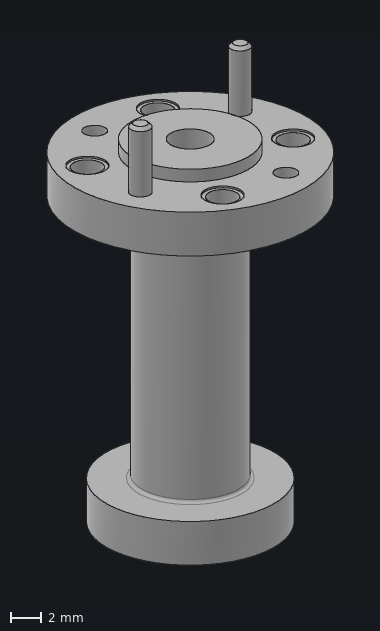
import cadquery as cq

total_height = 32.08
flange_thickness = 3.2
upper_flange_top = 27.05
boss_height = 0.93

upper_flange_diameter = 19.05
lower_flange_diameter = 13.8
tube_diameter = 7.95
boss_diameter = 9.53
bore_diameter = 3.18
tube_fillet = 0.25

hole_circle_radius = 7.15
screw_hole_diameter = 2.28
counterbore_diameter = 2.85
counterbore_depth = 0.13
pin_hole_diameter = 1.7
pin_diameter = 1.57
pin_chamfer_width = 0.25
pin_chamfer_height = 0.25

screw_angles = (0, 90, 180, 270)
pin_hole_angles = (45, 225)
pin_angles = (135, 315)

upper_flange_bottom = upper_flange_top - flange_thickness
boss_top = upper_flange_top + boss_height
pin_length = total_height - upper_flange_bottom


def cylinder(diameter, bottom, top):
    """Solid cylinder on the main axis between two heights."""
    return cq.Workplane("XY").workplane(offset=bottom).circle(diameter / 2).extrude(top - bottom)


def place_around(shape, angle):
    """Move a shape from the main axis onto the hole circle at an angle."""
    return shape.translate((hole_circle_radius, 0, 0)).rotate((0, 0, 0), (0, 0, 1), angle)


def turned_body():
    """Two flanges joined by a tube, with the raised boss on top."""
    lower_flange = cylinder(lower_flange_diameter, 0, flange_thickness)
    tube = cylinder(tube_diameter, flange_thickness, upper_flange_bottom)
    upper_flange = cylinder(upper_flange_diameter, upper_flange_bottom, upper_flange_top)
    boss = cylinder(boss_diameter, upper_flange_top, boss_top)

    spool = lower_flange.union(tube).union(upper_flange)
    tube_ends = cq.selectors.RadiusNthSelector(0)
    spool = spool.edges("%CIRCLE").edges(tube_ends).fillet(tube_fillet)
    return spool.union(boss).cut(cylinder(bore_diameter, 0, boss_top))


def screw_hole_cutter():
    """Through hole with a shallow counterbore in the flange top."""
    through_hole = cylinder(screw_hole_diameter, upper_flange_bottom, upper_flange_top)
    counterbore_floor = upper_flange_top - counterbore_depth
    return through_hole.union(cylinder(counterbore_diameter, counterbore_floor, upper_flange_top))


def locating_pin():
    """Pin filling the flange thickness, with a chamfered tip."""
    tip_radius = pin_diameter / 2 - pin_chamfer_width
    profile = (
        cq.Workplane("XZ")
        .moveTo(0, 0)
        .lineTo(pin_diameter / 2, 0)
        .lineTo(pin_diameter / 2, pin_length - pin_chamfer_height)
        .lineTo(tip_radius, pin_length)
        .lineTo(0, pin_length)
        .close()
    )
    pin = profile.revolve(360, (0, 0, 0), (0, 1, 0))
    return pin.translate((0, 0, upper_flange_bottom))


result = turned_body()

for screw_angle in screw_angles:
    result = result.cut(place_around(screw_hole_cutter(), screw_angle))

pin_hole_cutter = cylinder(pin_hole_diameter, upper_flange_bottom, upper_flange_top)
for pin_hole_angle in pin_hole_angles:
    result = result.cut(place_around(pin_hole_cutter, pin_hole_angle))

for pin_angle in pin_angles:
    result = result.union(place_around(locating_pin(), pin_angle))